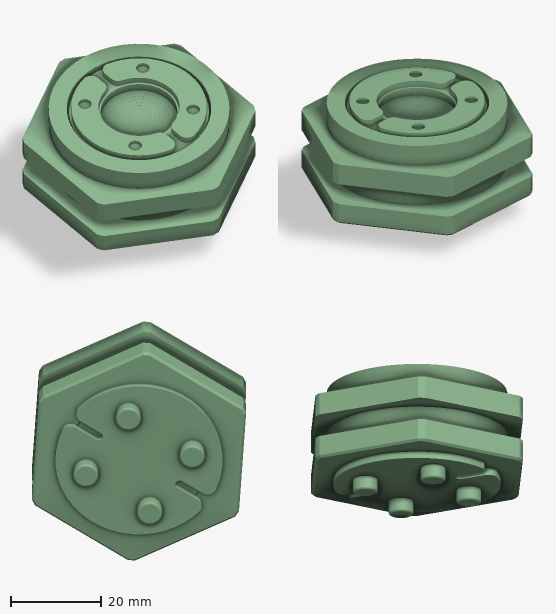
import cadquery as cq
import math

overall_height = 25.0
pin_height = 3.0
housing_height = 20.0
land_proud = 0.5
plate_thickness = overall_height - land_proud - housing_height - pin_height
housing_bottom = pin_height + plate_thickness
split_angle = -15

tube_diameter = 40.0
bore_diameter = 32.0
hex_sides = 6
hex_across_flats = 45.95
hex_corner_diameter = 52.15
hex_vertex_angle = 45
flange_count = 2
flange_thickness = housing_height / 4
flange_pitch = 2 * flange_thickness
flange_chamfer = 0.5

plate_diameter = 37.05
slot_width = 2.0
slot_end_radius = 10.8
corner_fillet = 2.0
core_diameter = 31.0
land_height = 1.5
land_outer_diameter = 30.0
land_inner_diameter = 18.0
land_gap = 2.1
core_top = overall_height - land_height

well_diameter = 17.0
well_depth = 2.0
well_center_diameter = 4.0
well_step_count = 7
well_step_depth = 0.025

contact_count = 4
contact_circle_diameter = 24.0
contact_first_angle = 30
contact_hole_diameter = 3.0
contact_hole_depth = 0.9
pin_diameter = 5.5
pin_tip_fillet = 0.5


def disc(diameter, height, bottom):
    return cq.Workplane("XY").workplane(offset=bottom).circle(diameter / 2).extrude(height)


def at_contacts(workplane):
    """Place points on the circle shared by the pins and the contact holes."""
    return workplane.polarArray(contact_circle_diameter / 2, contact_first_angle, 360, contact_count)


def make_flange(bottom):
    """Hexagonal flange with its corners trimmed by a circle."""
    vertex_diameter = hex_across_flats / math.cos(math.pi / hex_sides)
    hexagon = (
        cq.Workplane("XY")
        .polygon(hex_sides, vertex_diameter)
        .extrude(flange_thickness)
        .rotate((0, 0, 0), (0, 0, 1), hex_vertex_angle)
        .translate((0, 0, bottom))
    )
    return hexagon.intersect(disc(hex_corner_diameter, flange_thickness, bottom))


def make_housing():
    """Bored tube with evenly pitched flanges, the bottom one chamfered underneath."""
    housing = disc(tube_diameter, housing_height, housing_bottom)
    for index in range(flange_count):
        flange = make_flange(housing_bottom + index * flange_pitch)
        is_bottom_flange = index == 0
        if is_bottom_flange:
            flange = flange.faces("<Z").chamfer(flange_chamfer)
        housing = housing.union(flange)
    return housing.cut(disc(bore_diameter, housing_height, housing_bottom))


def make_plate():
    """Round plate with two opposite round-ended slots that are rounded at the rim."""
    plate = disc(plate_diameter, plate_thickness, pin_height)
    slot_run = plate_diameter / 2
    for side in (1, -1):
        slot = (
            cq.Workplane("XY")
            .workplane(offset=pin_height)
            .center(side * (slot_end_radius + slot_run / 2), 0)
            .slot2D(slot_run + slot_width, slot_width)
            .extrude(plate_thickness)
        )
        plate = plate.cut(slot)
    rim_corners = plate.edges("|Z").filter(
        lambda edge: math.hypot(edge.Center().x, edge.Center().y) > core_diameter / 2
    )
    return rim_corners.fillet(corner_fillet)


def make_lands():
    """Ring split into two C-shaped lands by a straight gap, with all four ends rounded."""
    ring = disc(land_outer_diameter, land_height, core_top)
    ring = ring.cut(disc(land_inner_diameter, land_height, core_top))
    gap = (
        cq.Workplane("XY")
        .workplane(offset=core_top)
        .rect(land_outer_diameter, land_gap)
        .extrude(land_height)
    )
    return ring.cut(gap).edges("|Z").fillet(corner_fillet)


def cut_well(body):
    """Central well whose floor drops towards the middle in shallow concentric steps."""
    ring_width = (well_diameter - well_center_diameter) / 2 / well_step_count
    for step in range(well_step_count + 1):
        diameter = well_diameter - 2 * step * ring_width
        depth = well_depth + step * well_step_depth
        body = body.cut(disc(diameter, depth, core_top - depth))
    return body


def make_contact_holes():
    bottom = overall_height - contact_hole_depth
    centers = at_contacts(cq.Workplane("XY").workplane(offset=bottom))
    return centers.circle(contact_hole_diameter / 2).extrude(contact_hole_depth)


def make_pins():
    pins = at_contacts(cq.Workplane("XY")).circle(pin_diameter / 2).extrude(pin_height)
    return pins.faces("<Z").edges().fillet(pin_tip_fillet)


def make_insert():
    core = disc(core_diameter, core_top - housing_bottom, housing_bottom)
    insert = make_plate().union(core).union(make_lands())
    insert = insert.rotate((0, 0, 0), (0, 0, 1), split_angle)
    insert = cut_well(insert)
    return insert.cut(make_contact_holes()).union(make_pins())


housing = make_housing()
insert = make_insert()

result = cq.Compound.makeCompound([housing.val(), insert.val()])